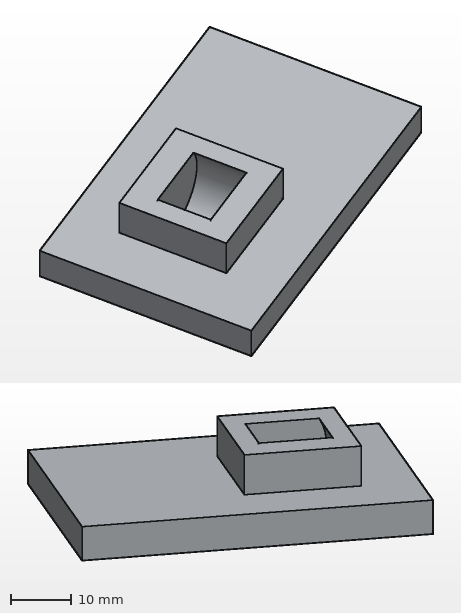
import cadquery as cq
import math

plate_width = 40.0
plate_length = 60.0
plate_thickness = 6.0

block_width = 20.2
block_length = 20.0
block_height = 7.0
block_x = -0.2
block_y = -plate_length / 6
block_top = plate_thickness + block_height

pocket_width = 10.0
mouth_length = 12.6
pocket_radius = 7.5
axis_depth = math.sqrt(pocket_radius**2 - (mouth_length / 2) ** 2)


def make_plate():
    return cq.Workplane("XY").box(
        plate_width, plate_length, plate_thickness, centered=(True, True, False)
    )


def make_block():
    return (
        cq.Workplane("XY", origin=(block_x, block_y, plate_thickness))
        .rect(block_width, block_length)
        .extrude(block_height)
    )


def make_pocket_cutter():
    return (
        cq.Workplane("YZ", origin=(-pocket_width / 2, block_y, block_top - axis_depth))
        .circle(pocket_radius)
        .extrude(pocket_width)
    )


result = make_plate().union(make_block()).cut(make_pocket_cutter())